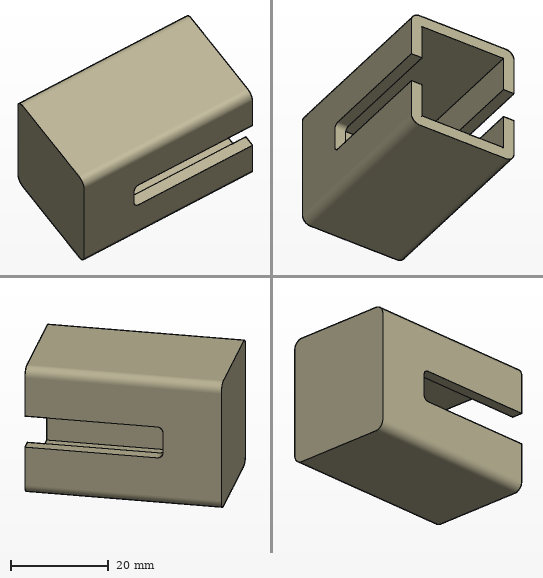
import cadquery as cq

width = 25.0
length = 41.0
height = 28.0
edge_radius = 2.0

wall = 2.6
cavity_width = width - 2 * wall
cavity_height = height - 2 * wall
cavity_length = length - wall

slot_height = 6.9
slot_length = 28.82
slot_radius = 1.25


def block_at_open_end(size_x, size_y, size_z):
    """Block whose +Y face lies on the open end of the part."""
    center_y = (length - size_y) / 2
    return cq.Workplane("XY").box(size_x, size_y, size_z).translate((0, center_y, 0))


body = cq.Workplane("XY").box(width, length, height).edges("|Y").fillet(edge_radius)
cavity = block_at_open_end(cavity_width, cavity_length, cavity_height)
slot = block_at_open_end(width, slot_length, slot_height)
slot = slot.faces("<Y").edges("|X").fillet(slot_radius)

result = body.cut(cavity).cut(slot)